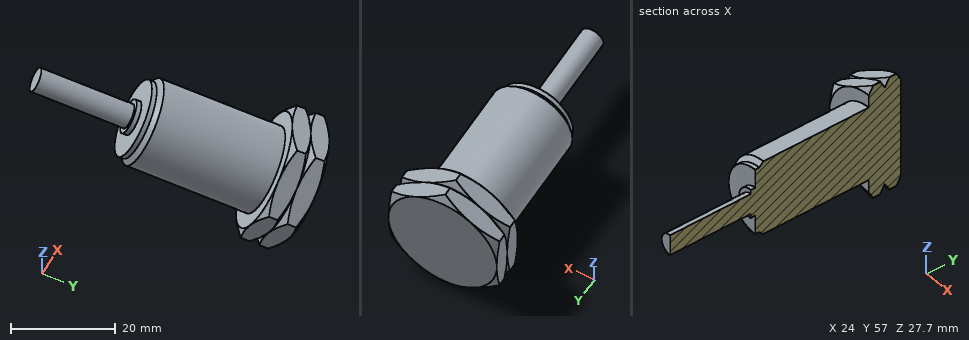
import cadquery as cq
import math

total_length = 57.0
nut_across_flats = 24.0
nut_thickness = 4.0
nut_count = 2
nut_chamfer_angle = 30.0

barrel_diameter = 18.0
barrel_end = 35.0
barrel_chamfer = 1.0
cap_end = 36.0
collar_diameter = 7.0
collar_length = 1.0
cable_diameter = 5.0

nut_across_corners = nut_across_flats / math.cos(math.radians(30))
cap_diameter = barrel_diameter - 2 * barrel_chamfer
collar_end = cap_end + collar_length


def cylinder(diameter, start, end):
    """Round section between two distances from the rear face."""
    return (
        cq.Workplane("XZ", origin=(0, -start, 0))
        .circle(diameter / 2)
        .extrude(end - start)
    )


def make_nut(start):
    """Hexagon with corners on Z, trimmed by a cone on each face."""
    hexagon = (
        cq.Workplane("XZ", origin=(0, -start, 0))
        .transformed(rotate=(0, 0, 90))
        .polygon(6, nut_across_corners)
        .extrude(nut_thickness)
    )
    face_radius = nut_across_flats / 2
    outer_radius = nut_across_corners / 2
    cone_depth = (outer_radius - face_radius) * math.tan(math.radians(nut_chamfer_angle))
    end = start + nut_thickness
    envelope = (
        cq.Workplane("XY")
        .polyline([
            (0, -start),
            (face_radius, -start),
            (outer_radius, -start - cone_depth),
            (outer_radius, -end + cone_depth),
            (face_radius, -end),
            (0, -end),
        ])
        .close()
        .revolve(360, (0, 0, 0), (0, 1, 0))
    )
    return hexagon.intersect(envelope)


result = cylinder(barrel_diameter, 0, barrel_end).faces("<Y").chamfer(barrel_chamfer)

result = result.union(cylinder(cap_diameter, 0, cap_end))
result = result.union(cylinder(collar_diameter, 0, collar_end))
result = result.union(cylinder(cable_diameter, 0, total_length))

for index in range(nut_count):
    result = result.union(make_nut(index * nut_thickness))